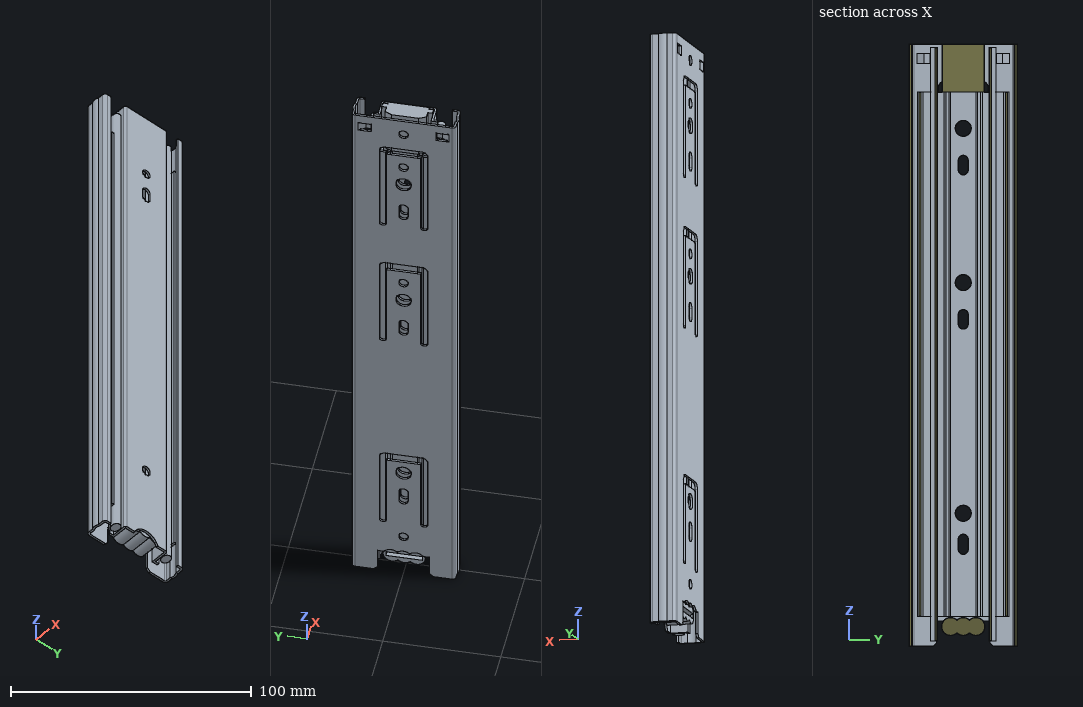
import cadquery as cq

LENGTH = 250.0

SHEET = 1.0
OUTER_DEPTH = 11.5
OUTER_FLANGE_Y = 22.0
RACE_Y = 22.5
RACE_X = (3.8, 7.5)
OUTER_LIP_END_Y = 18.5
CORNER_RADIUS = 1.5

LANCE_HALF_WIDTH = 10.2
TONGUE_HALF_WIDTH = 7.2
LANCE_BAR_HEIGHT = 3.8
LANCE_CORNER_RADIUS = 2.5
LANCE_FOOT_RADIUS = 1.2
LANCE_SPANS = [(191.2, 234.5), (127.2, 170.5), (27.0, 65.0)]

SMALL_HOLE_RADIUS = 2.0
LARGE_HOLE_RADIUS = 3.2
SMALL_HOLES_Z = [242.8, 224.5, 160.5, 20.0]
LARGE_HOLES_Z = [215.0, 151.0, 55.2]
SLOT_SPANS = [(195.8, 203.8), (131.8, 139.8), (38.2, 46.5)]

WINDOW_Y = 16.5
WINDOW_WIDTH = 5.5
WINDOW_HEIGHT = 4.0
WINDOW_Z = 244.0
TAB_DEPTH = 2.5
TAB_THICKNESS = 0.8
TAB_BEND_Y = 16.2

MOUTH_HALF_WIDTH = 11.0
MOUTH_HEIGHT = 10.5
MOUTH_FLARE = 1.5

LOBE_RADIUS = 3.8
LOBE_PITCH = 5.2
LOBE_Z = 8.2
BUMPER_X = 1.2
BUMPER_GROOVE_Z = (7.2, 9.2)
BUMPER_GROOVE_DEPTH = 3.0
BUMPER_GROOVE_HALF_WIDTH = 7.8

MIDDLE_X = 2.0
MIDDLE_DEPTH = 11.2
MIDDLE_SHEET = 1.0
MIDDLE_FLANGE_Y = 17.8
MIDDLE_RACE_Y = 19.0
MIDDLE_RACE_X = (3.8, 6.8)
STEP_Y = (8.0, 7.2)
STEP_DEPTH = 0.8
GROOVE_Y = (6.0, 5.2)
GROOVE_DEPTH = 0.5
MIDDLE_BOTTOM = 12.5
MIDDLE_TOP = 230.0

INNER_FACE_X = 12.8
INNER_SHEET = 1.0
INNER_HALF_WIDTH = 11.8
INNER_CORNER_RADIUS = 1.0
INNER_LIP_X = 4.2
INNER_LIP_Y = 13.5
INNER_BOTTOM = 2.2
INNER_TOP = 248.5
INNER_NOTCH_RADIUS = 6.8
INNER_HOLE_Z = 216.0
INNER_HOLE_RADIUS = 2.0
INNER_SLOT_SPANS = [(200.0, 207.5), (39.8, 44.5)]

STRIP_X = 9.2
STRIP_Y = 14.0
STRIP_SEMI_X = 2.5
STRIP_SEMI_Y = 2.0
STRIP_TOP = 242.5

STOP_X = (3.2, 10.8)
STOP_HALF_WIDTH = 8.8
STOP_FACE_HALF_WIDTH = 5.8
STOP_CHAMFER_DEPTH = 1.5
CLIP_X = (7.5, 9.8)


def symmetric_bar(half_outline, bottom, top):
    """Extrude an outline on the +Y side along Z and join it to its mirror image."""
    half = half_outline.close().extrude(top - bottom).translate((0, 0, bottom))
    return half.union(half.mirror("XZ")).clean()


def box(x_range, y_range, z_range):
    ranges = (x_range, y_range, z_range)
    size = [end - start for start, end in ranges]
    corner = tuple(start for start, end in ranges)
    return cq.Workplane().box(*size, centered=False).translate(corner)


def web_plane(x):
    """Sketch plane facing +X, with local axes Y and Z."""
    return cq.Workplane("YZ", origin=(x, 0, 0))


def round_holes(x, depth, radius, heights):
    return web_plane(x).pushPoints([(0, z) for z in heights]).circle(radius).extrude(depth)


def slots(x, depth, spans):
    """Upright round-ended slots, each given by its lowest and highest point."""
    cutter = cq.Workplane()
    for bottom, top in spans:
        slot = web_plane(x).center(0, (bottom + top) / 2)
        cutter = cutter.add(slot.slot2D(top - bottom, 2 * SMALL_HOLE_RADIUS, 90).extrude(depth))
    return cutter.combine()


def lobes(x, depth):
    """Three overlapping round lobes side by side along Y."""
    body = cq.Workplane()
    for position in (-1, 0, 1):
        centre = web_plane(x).center(position * LOBE_PITCH, LOBE_Z)
        body = body.union(centre.circle(LOBE_RADIUS).extrude(depth))
    return body


def outer_channel():
    race_middle = sum(RACE_X) / 2
    inside_y = OUTER_FLANGE_Y - SHEET
    outline = (
        cq.Workplane()
        .lineTo(0, OUTER_FLANGE_Y)
        .lineTo(RACE_X[0], OUTER_FLANGE_Y)
        .threePointArc((race_middle, RACE_Y), (RACE_X[1], OUTER_FLANGE_Y))
        .lineTo(OUTER_DEPTH, OUTER_FLANGE_Y)
        .lineTo(OUTER_DEPTH, OUTER_LIP_END_Y)
        .lineTo(OUTER_DEPTH - SHEET, OUTER_LIP_END_Y)
        .lineTo(OUTER_DEPTH - SHEET, inside_y)
        .lineTo(RACE_X[1], inside_y)
        .threePointArc((race_middle, RACE_Y - SHEET), (RACE_X[0], inside_y))
        .lineTo(SHEET, inside_y)
        .lineTo(SHEET, 0)
    )
    channel = symmetric_bar(outline, 0, LENGTH)
    for x in (0, OUTER_DEPTH):
        for y in (-OUTER_FLANGE_Y, OUTER_FLANGE_Y):
            corner = cq.selectors.NearestToPointSelector((x, y, LENGTH / 2))
            channel = channel.edges("|Z").edges(corner).fillet(CORNER_RADIUS)
    for x in (SHEET, OUTER_DEPTH - SHEET):
        for y in (-inside_y, inside_y):
            corner = cq.selectors.NearestToPointSelector((x, y, LENGTH / 2))
            channel = channel.edges("|Z").edges(corner).fillet(CORNER_RADIUS - SHEET)
    return channel


def lance(bottom, top):
    """U-shaped slot through the outer web, open side down."""
    frame = box((0, SHEET), (-LANCE_HALF_WIDTH, LANCE_HALF_WIDTH), (bottom, top))
    frame = frame.edges("|X and >Z").fillet(LANCE_CORNER_RADIUS)
    tongue = box(
        (0, SHEET),
        (-TONGUE_HALF_WIDTH, TONGUE_HALF_WIDTH),
        (bottom, top - LANCE_BAR_HEIGHT),
    )
    return frame.cut(tongue).edges("|X and <Z").fillet(LANCE_FOOT_RADIUS)


def mouth():
    """Opening at the bottom end, flared at its foot and scalloped around the lobes."""
    foot = MOUTH_HALF_WIDTH + MOUTH_FLARE
    opening = (
        web_plane(0)
        .polyline([
            (-foot, 0),
            (-MOUTH_HALF_WIDTH, MOUTH_FLARE),
            (-MOUTH_HALF_WIDTH, MOUTH_HEIGHT),
            (MOUTH_HALF_WIDTH, MOUTH_HEIGHT),
            (MOUTH_HALF_WIDTH, MOUTH_FLARE),
            (foot, 0),
        ])
        .close()
        .extrude(SHEET)
    )
    return opening.union(lobes(0, SHEET))


def add_stop_tab(rail, side):
    """Cut one window and bend its tab inwards: a slope from the window edge, then a flat."""
    bottom = WINDOW_Z - WINDOW_HEIGHT / 2
    near_y = side * (WINDOW_Y - WINDOW_WIDTH / 2)
    far_y = side * (WINDOW_Y + WINDOW_WIDTH / 2)
    bend_y = side * TAB_BEND_Y
    back_x = TAB_DEPTH - TAB_THICKNESS
    window = (
        web_plane(0)
        .center(side * WINDOW_Y, WINDOW_Z)
        .rect(WINDOW_WIDTH, WINDOW_HEIGHT)
        .extrude(SHEET)
    )
    tab = (
        cq.Workplane(origin=(0, 0, bottom))
        .polyline([
            (0, far_y),
            (back_x, bend_y),
            (back_x, near_y),
            (TAB_DEPTH, near_y),
            (TAB_DEPTH, bend_y),
            (SHEET, far_y),
        ])
        .close()
        .extrude(WINDOW_HEIGHT)
    )
    return rail.cut(window).union(tab)


def outer_rail():
    rail = outer_channel()
    for bottom, top in LANCE_SPANS:
        rail = rail.cut(lance(bottom, top))
    rail = rail.cut(round_holes(0, SHEET, SMALL_HOLE_RADIUS, SMALL_HOLES_Z))
    rail = rail.cut(round_holes(0, SHEET, LARGE_HOLE_RADIUS, LARGE_HOLES_Z))
    rail = rail.cut(slots(0, SHEET, SLOT_SPANS))
    rail = rail.cut(mouth())
    for side in (-1, 1):
        rail = add_stop_tab(rail, side)
    return rail


def middle_rail():
    race_middle = sum(MIDDLE_RACE_X) / 2
    step_x = MIDDLE_X + STEP_DEPTH
    groove_x = step_x + GROOVE_DEPTH
    inside_x = MIDDLE_X + MIDDLE_SHEET
    inside_y = MIDDLE_FLANGE_Y - MIDDLE_SHEET
    outline = (
        cq.Workplane()
        .moveTo(groove_x, 0)
        .lineTo(groove_x, GROOVE_Y[1])
        .lineTo(step_x, GROOVE_Y[0])
        .lineTo(step_x, STEP_Y[1])
        .lineTo(MIDDLE_X, STEP_Y[0])
        .lineTo(MIDDLE_X, MIDDLE_FLANGE_Y)
        .lineTo(MIDDLE_RACE_X[0], MIDDLE_FLANGE_Y)
        .threePointArc((race_middle, MIDDLE_RACE_Y), (MIDDLE_RACE_X[1], MIDDLE_FLANGE_Y))
        .lineTo(MIDDLE_DEPTH, MIDDLE_FLANGE_Y)
        .lineTo(MIDDLE_DEPTH, inside_y)
        .lineTo(MIDDLE_RACE_X[1], inside_y)
        .threePointArc((race_middle, MIDDLE_RACE_Y - MIDDLE_SHEET), (MIDDLE_RACE_X[0], inside_y))
        .lineTo(inside_x, inside_y)
        .lineTo(inside_x, STEP_Y[0])
        .lineTo(step_x + MIDDLE_SHEET, STEP_Y[1])
        .lineTo(step_x + MIDDLE_SHEET, GROOVE_Y[0])
        .lineTo(groove_x + MIDDLE_SHEET, GROOVE_Y[1])
        .lineTo(groove_x + MIDDLE_SHEET, 0)
    )
    rail = symmetric_bar(outline, MIDDLE_BOTTOM, MIDDLE_TOP)
    through_holes = round_holes(groove_x, MIDDLE_SHEET, LARGE_HOLE_RADIUS, LARGE_HOLES_Z)
    return rail.cut(through_holes).cut(slots(groove_x, MIDDLE_SHEET, SLOT_SPANS))


def inner_rail():
    inside_x = INNER_FACE_X - INNER_SHEET
    inside_y = INNER_HALF_WIDTH - INNER_SHEET
    lip_x = INNER_LIP_X + INNER_SHEET
    outline = (
        cq.Workplane()
        .moveTo(INNER_FACE_X, 0)
        .lineTo(INNER_FACE_X, INNER_HALF_WIDTH - INNER_CORNER_RADIUS)
        .tangentArcPoint((INNER_FACE_X - INNER_CORNER_RADIUS, INNER_HALF_WIDTH), relative=False)
        .lineTo(lip_x, INNER_HALF_WIDTH)
        .lineTo(lip_x, INNER_LIP_Y)
        .lineTo(INNER_LIP_X, INNER_LIP_Y)
        .lineTo(INNER_LIP_X, inside_y)
        .lineTo(inside_x, inside_y)
        .lineTo(inside_x, 0)
    )
    rail = symmetric_bar(outline, INNER_BOTTOM, INNER_TOP)
    rail = rail.cut(web_plane(inside_x).circle(INNER_NOTCH_RADIUS).extrude(INNER_SHEET))
    rail = rail.cut(round_holes(inside_x, INNER_SHEET, INNER_HOLE_RADIUS, [INNER_HOLE_Z]))
    return rail.cut(slots(inside_x, INNER_SHEET, INNER_SLOT_SPANS))


def ball_strip(side):
    """One strip of the inner ball bearing; side is -1 or 1."""
    section = cq.Workplane(origin=(STRIP_X, side * STRIP_Y, INNER_BOTTOM))
    return section.ellipse(STRIP_SEMI_X, STRIP_SEMI_Y).extrude(STRIP_TOP - INNER_BOTTOM)


def end_stop():
    clip_y = INNER_HALF_WIDTH - INNER_SHEET
    outline = (
        cq.Workplane()
        .moveTo(STOP_X[0], 0)
        .lineTo(STOP_X[0], STOP_FACE_HALF_WIDTH)
        .lineTo(STOP_X[0] + STOP_CHAMFER_DEPTH, STOP_HALF_WIDTH)
        .lineTo(CLIP_X[0], STOP_HALF_WIDTH)
        .lineTo(CLIP_X[0], clip_y)
        .lineTo(CLIP_X[1], clip_y)
        .lineTo(CLIP_X[1], STOP_HALF_WIDTH)
        .lineTo(STOP_X[1], STOP_HALF_WIDTH)
        .lineTo(STOP_X[1], 0)
    )
    return symmetric_bar(outline, MIDDLE_TOP, LENGTH)


def bumper():
    """Three-lobed block with an undercut groove across its exposed face."""
    block = lobes(BUMPER_X, INNER_FACE_X - INNER_SHEET - BUMPER_X)
    groove_bottom, groove_top = BUMPER_GROOVE_Z
    groove = (
        cq.Workplane("XZ")
        .polyline([
            (BUMPER_X, groove_bottom),
            (BUMPER_X + BUMPER_GROOVE_DEPTH, groove_bottom),
            (BUMPER_X, groove_top),
        ])
        .close()
        .extrude(BUMPER_GROOVE_HALF_WIDTH, both=True)
    )
    return block.cut(groove)


ball_strips = [ball_strip(side) for side in (-1, 1)]
result = cq.Compound.makeCompound([
    outer_rail().val(),
    middle_rail().val(),
    inner_rail().val(),
    end_stop().val(),
    bumper().val(),
    *[strip.val() for strip in ball_strips],
])